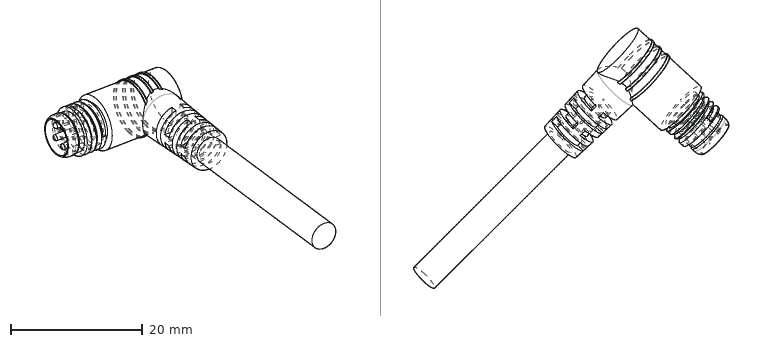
import cadquery as cq
import math


housing_radius = 4.53
housing_back = 3.8
housing_front = -9.5
band_radius = 4.7
band_width = 0.45
band_centres = (0.8, -0.75, -2.45)

neck_radius = 3.3
plug_end = -16.7
thread_start = -10.25
thread_end = -13.8
thread_radius = 4.0
thread_pitch = 1.0
thread_depth = 0.5
groove_width = 0.9
groove_turns = 2.65
groove_lead_in = 0.3
groove_overshoot = 0.05
nose_back = -14.77
nose_crest_back = -15.05
nose_crest_front = -15.55
nose_crest_radius = 3.45
nose_shoulder_radius = 3.33
nose_shoulder = plug_end + 0.4
nose_tip_radius = 3.1

cavity_radius = 2.9
cavity_depth = 5.0
pin_radius = 0.5
pin_circle_radius = 1.8
pin_angles = (73, 143, -143, -73)
pin_dome_height = 0.35
pin_recess = 0.5
pin_root_depth = 0.5

sleeve_radius = housing_back
taper_start = housing_radius
sleeve_end = 16.55
sleeve_end_radius = 3.37
slot_start = 7.9
slot_width = 1.08
slot_pitch = 2.0
slot_count = 4
bridge_width = 1.5

cable_radius = 2.25
cable_end = 46.5


def make_housing():
    length = housing_back - housing_front
    body = cq.Workplane("XZ", origin=(0, housing_back, 0)).circle(housing_radius).extrude(length)
    for centre in band_centres:
        band_back = centre + band_width / 2
        band = cq.Workplane("XZ", origin=(0, band_back, 0)).circle(band_radius).extrude(band_width)
        body = body.union(band)
    return body


def make_sleeve():
    return (
        cq.Workplane("XY")
        .moveTo(0, 0)
        .lineTo(0, sleeve_radius)
        .lineTo(taper_start, sleeve_radius)
        .lineTo(sleeve_end, sleeve_end_radius)
        .lineTo(sleeve_end, 0)
        .close()
        .revolve(360, (0, 0, 0), (1, 0, 0))
    )


def make_slot(index):
    """Ring slot down to the cable; its two bridges lie at +-Z on even slots, +-Y on odd ones."""
    start = slot_start + index * slot_pitch
    clearance_radius = 2 * sleeve_radius
    ring = (
        cq.Workplane("YZ", origin=(start, 0, 0))
        .circle(clearance_radius)
        .circle(cable_radius)
        .extrude(slot_width)
    )
    bridge_span = 2 * clearance_radius
    if index % 2 == 0:
        bridge_y, bridge_z = bridge_width, bridge_span
    else:
        bridge_y, bridge_z = bridge_span, bridge_width
    bridge = cq.Workplane("YZ", origin=(start, 0, 0)).rect(bridge_y, bridge_z).extrude(slot_width)
    return ring.cut(bridge)


def make_cable():
    return cq.Workplane("YZ").circle(cable_radius).extrude(cable_end)


def make_plug():
    """Neck, thread blank and nose as one turned profile."""
    return (
        cq.Workplane("XY")
        .moveTo(0, housing_front)
        .lineTo(neck_radius, housing_front)
        .lineTo(neck_radius, thread_start)
        .lineTo(thread_radius, thread_start)
        .lineTo(thread_radius, thread_end)
        .lineTo(neck_radius, thread_end)
        .lineTo(neck_radius, nose_back)
        .lineTo(nose_crest_radius, nose_crest_back)
        .lineTo(nose_crest_radius, nose_crest_front)
        .threePointArc((nose_shoulder_radius, nose_shoulder), (nose_tip_radius, plug_end))
        .lineTo(0, plug_end)
        .close()
        .revolve(360, (0, 0, 0), (0, 1, 0))
    )


def make_thread_groove():
    """Right-handed V groove, swept along Z and then turned to advance along -Y."""
    root_radius = thread_radius - thread_depth
    outer_radius = thread_radius + groove_overshoot
    half_width = groove_width / 2 * (thread_depth + groove_overshoot) / thread_depth
    helix = cq.Wire.makeHelix(thread_pitch, groove_turns * thread_pitch, root_radius)
    groove = (
        cq.Workplane("XZ")
        .moveTo(root_radius, 0)
        .lineTo(outer_radius, half_width)
        .lineTo(outer_radius, -half_width)
        .close()
        .sweep(cq.Workplane(helix), isFrenet=True)
    )
    turned = groove.rotate((0, 0, 0), (1, 0, 0), 90)
    return turned.translate((0, thread_start - groove_lead_in, 0))


def make_cavity():
    floor = plug_end + cavity_depth
    return cq.Workplane("XZ", origin=(0, floor, 0)).circle(cavity_radius).extrude(cavity_depth)


def make_pin(angle):
    """Contact pin with a domed tip, rooted below the cavity floor."""
    root = plug_end + cavity_depth + pin_root_depth
    tip = plug_end + pin_recess
    dome_start = tip + pin_dome_height
    sphere_radius = (pin_radius**2 + pin_dome_height**2) / (2 * pin_dome_height)
    dome_mid_radius = pin_radius / 2
    dome_mid = tip + sphere_radius - math.sqrt(sphere_radius**2 - dome_mid_radius**2)
    pin = (
        cq.Workplane("XY")
        .moveTo(0, root)
        .lineTo(pin_radius, root)
        .lineTo(pin_radius, dome_start)
        .threePointArc((dome_mid_radius, dome_mid), (0, tip))
        .close()
        .revolve(360, (0, 0, 0), (0, 1, 0))
    )
    x = pin_circle_radius * math.cos(math.radians(angle))
    z = pin_circle_radius * math.sin(math.radians(angle))
    return pin.translate((x, 0, z))


sleeve = make_sleeve()
for slot_index in range(slot_count):
    sleeve = sleeve.cut(make_slot(slot_index))

plug = make_plug().cut(make_thread_groove()).cut(make_cavity())

result = make_housing().union(sleeve).union(make_cable()).union(plug)
for pin_angle in pin_angles:
    result = result.union(make_pin(pin_angle))